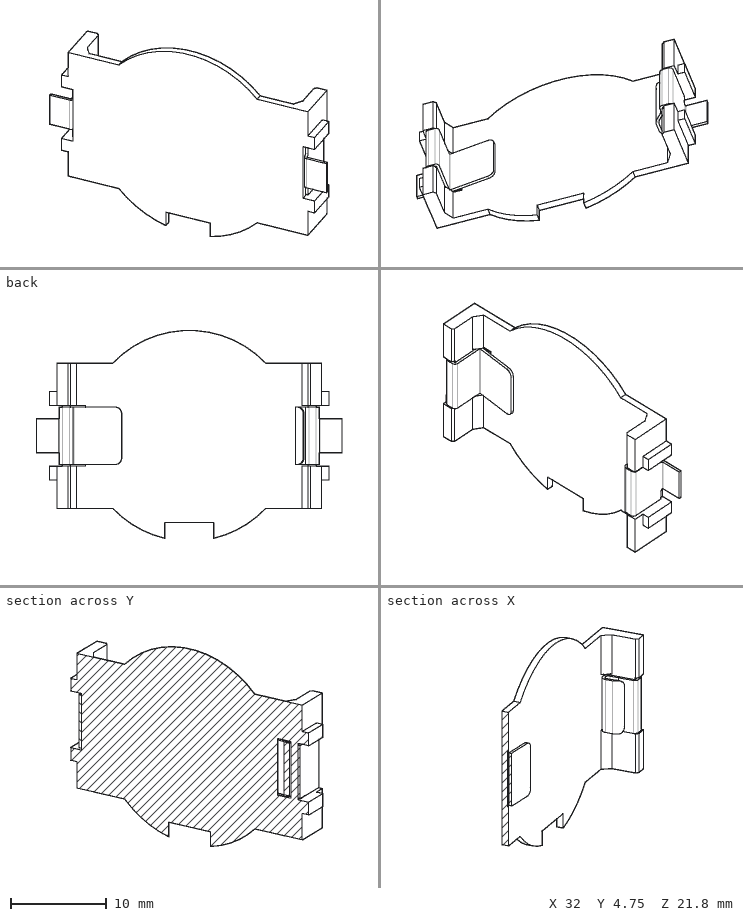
import cadquery as cq
import math


floor_thickness = 0.77
floor_half_length = 13.85
floor_half_width = 7.6
disc_radius = 11.05
notch_width = 5.12
notch_edge = -9.1

wall_height = 4.75
wall_inner_x = 12.45
wall_top_chamfer = 0.25
wall_foot_x = 11.8
wall_foot_top = 1.75

post_outer_x = 14.62
post_height = 3.55
post_half_span = 4.65

strip_thickness = 0.3
strip_width = 6.0
bend_inner_radius = 0.05
tab_end_x = 16.0
tab_width = 3.6
tab_shoulder_height = 0.58
tab_shoulder_radius = 0.25
tip_corner_radius = 0.7

seat_width = 6.35
seat_outer_x = 13.3
seat_top = wall_height - strip_thickness

curl_inner_radius = 0.35
curl_center_y = 1.63
curl_straight_top = 2.4
curl_top_radius = 0.93
curl_top_angle = math.radians(74)

leaf_tip_x = 7.07
leaf_tip_y = 1.4
leaf_angle = math.radians(6.6)
leaf_pocket_length = 1.6

bend_radius = bend_inner_radius + strip_thickness / 2
tab_y = strip_thickness / 2
plate_x = seat_outer_x + strip_thickness / 2
top_y = wall_height - strip_thickness / 2
leg_x = wall_inner_x - strip_thickness / 2

leaf_bend_x = leg_x - bend_radius
leaf_start_x = leaf_bend_x - bend_radius * math.sin(leaf_angle)
leaf_start_y = leaf_tip_y - (leaf_start_x - leaf_tip_x) * math.tan(leaf_angle)
leaf_bend_y = leaf_start_y + bend_radius * math.cos(leaf_angle)
leaf_pocket_floor = leaf_bend_y - bend_radius - strip_thickness / 2


def box(x_range, y_range, z_range):
    """Box between two X, two Y and two Z values."""
    size = [high - low for low, high in (x_range, y_range, z_range)]
    corner = (x_range[0], y_range[0], z_range[0])
    return cq.Workplane("XY").box(*size, centered=False).translate(corner)


def mirrored_in_x(body):
    return body.mirror("YZ")


def make_floor():
    """Rectangular floor with a round disc, notched at the -Z rim."""
    plate = box(
        (-floor_half_length, floor_half_length),
        (0, floor_thickness),
        (-floor_half_width, floor_half_width),
    )
    disc = cq.Workplane("XZ").circle(disc_radius).extrude(-floor_thickness)
    notch = box(
        (-notch_width / 2, notch_width / 2),
        (0, floor_thickness),
        (-disc_radius, notch_edge),
    )
    return plate.union(disc).cut(notch)


def make_end_wall():
    """End wall at -X with its guide posts and the seat for the contact."""
    wall = (
        cq.Workplane("XY")
        .moveTo(-floor_half_length, 0)
        .lineTo(-wall_foot_x, 0)
        .lineTo(-wall_foot_x, floor_thickness)
        .lineTo(-wall_inner_x, wall_foot_top)
        .lineTo(-wall_inner_x, wall_height - wall_top_chamfer)
        .lineTo(-wall_inner_x - wall_top_chamfer, wall_height)
        .lineTo(-floor_half_length, wall_height)
        .close()
        .extrude(floor_half_width, both=True)
    )
    posts = box(
        (-post_outer_x, -floor_half_length),
        (0, post_height),
        (-post_half_span, post_half_span),
    )
    seat_z = (-seat_width / 2, seat_width / 2)
    seat_gap = box((-post_outer_x, -wall_foot_x), (floor_thickness, wall_height), seat_z)
    seat = (
        box((-seat_outer_x, -wall_inner_x), (floor_thickness, seat_top), seat_z)
        .edges(">Y and |Z")
        .fillet(bend_inner_radius)
    )
    return wall.union(posts).cut(seat_gap).union(seat)


def make_seat_opening():
    """Opening through the floor edge between the posts at -X, for the solder tab."""
    return box(
        (-post_outer_x, -seat_outer_x),
        (0, floor_thickness),
        (-seat_width / 2, seat_width / 2),
    )


def make_housing():
    end_wall = make_end_wall()
    seat_opening = make_seat_opening()
    leaf_pocket = box(
        (wall_inner_x - leaf_pocket_length, wall_inner_x),
        (leaf_pocket_floor, floor_thickness),
        (-seat_width / 2, seat_width / 2),
    )
    return (
        make_floor()
        .union(end_wall)
        .union(mirrored_in_x(end_wall))
        .cut(seat_opening)
        .cut(mirrored_in_x(seat_opening))
        .cut(leaf_pocket)
    )


def hook_path():
    """Middle line of a -X contact: along the tab, up the plate, over the wall and into the leg."""
    return (
        cq.Workplane("XY")
        .moveTo(-tab_end_x, tab_y)
        .lineTo(-plate_x - bend_radius, tab_y)
        .tangentArcPoint((-plate_x, tab_y + bend_radius), relative=False)
        .lineTo(-plate_x, top_y - bend_radius)
        .tangentArcPoint((-plate_x + bend_radius, top_y), relative=False)
        .lineTo(-leg_x - bend_radius, top_y)
        .tangentArcPoint((-leg_x, top_y - bend_radius), relative=False)
    )


def curl_path():
    """Hook path that goes on in a U-turn and a curl back towards the wall."""
    curl_x = -leg_x + 2 * curl_inner_radius + strip_thickness
    tip_x = curl_x - curl_top_radius * (1 - math.cos(curl_top_angle))
    tip_y = curl_straight_top + curl_top_radius * math.sin(curl_top_angle)
    path = (
        hook_path()
        .lineTo(-leg_x, curl_center_y)
        .tangentArcPoint((curl_x, curl_center_y), relative=False)
        .lineTo(curl_x, curl_straight_top)
        .tangentArcPoint((tip_x, tip_y), relative=False)
    )
    return path, (tip_x, tip_y), math.pi / 2 + curl_top_angle


def leaf_path():
    """Hook path that goes on in a straight leaf rising slightly from the floor."""
    tip = (-leaf_tip_x, leaf_tip_y)
    path = (
        hook_path()
        .lineTo(-leg_x, leaf_bend_y)
        .tangentArcPoint((-leaf_start_x, leaf_start_y), relative=False)
        .lineTo(*tip)
    )
    return path, tip, leaf_angle


def make_tab_relief():
    """Material beside the tab, below the full-width strip, with rounded inner corners."""
    relief = (
        box(
            (-tab_end_x, -seat_outer_x),
            (0, tab_shoulder_height),
            (tab_width / 2, strip_width / 2),
        )
        .edges("|X and >Y and <Z")
        .fillet(tab_shoulder_radius)
    )
    return relief.union(relief.mirror("XY"))


def make_tip_relief(tip, heading):
    """Corner material removed from a strip end that points along the heading angle in XY."""
    end = cq.Plane(
        origin=(*tip, 0),
        xDir=(math.cos(heading), math.sin(heading), 0),
        normal=(-math.sin(heading), math.cos(heading), 0),
    )
    corner_z = strip_width / 2
    arc_setback = tip_corner_radius * (1 - math.cos(math.pi / 4))
    corner = (
        cq.Workplane(end)
        .moveTo(0, corner_z)
        .lineTo(-tip_corner_radius, corner_z)
        .threePointArc((-arc_setback, corner_z - arc_setback), (0, corner_z - tip_corner_radius))
        .close()
        .extrude(tip_corner_radius, both=True)
    )
    return corner.union(corner.mirror("XY"))


def make_contact(path, tip, tip_heading):
    """Contact at -X: a flat strip bent along the path, with a narrow tab and a rounded tip."""
    strip = (
        cq.Workplane("YZ", origin=(-tab_end_x, tab_y, 0))
        .rect(strip_thickness, strip_width)
        .sweep(path.wire())
    )
    return strip.cut(make_tab_relief()).cut(make_tip_relief(tip, tip_heading))


housing = make_housing()
curl_contact = make_contact(*curl_path())
leaf_contact = mirrored_in_x(make_contact(*leaf_path()))

result = cq.Compound.makeCompound([
    *housing.solids().vals(),
    *curl_contact.solids().vals(),
    *leaf_contact.solids().vals(),
])